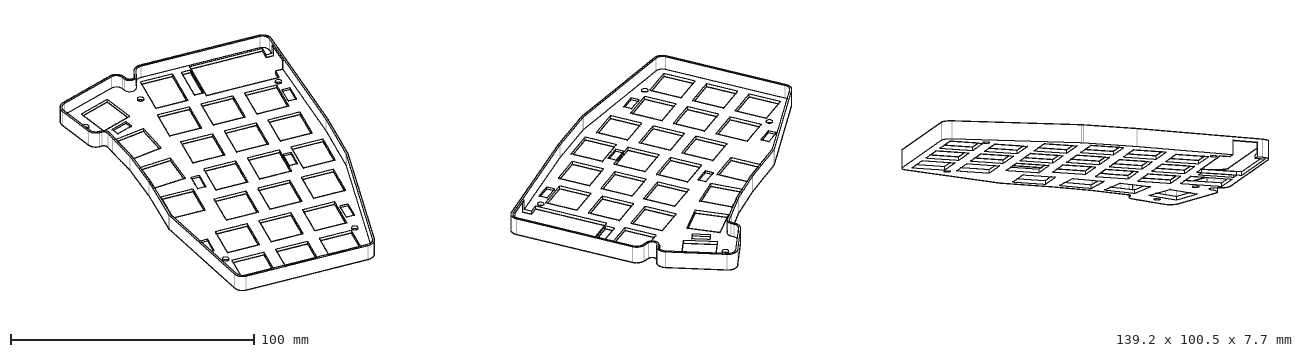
import cadquery as cq
import math

HEIGHT = 7.7
FLOOR = 1.5
WALL = 0.8
OUTER_RADIUS = 4.0
INNER_RADIUS = 2.0

CORNERS = [
    (0, 96.6, OUTER_RADIUS),
    (59.0, 100.5, 0),
    (82.4, 100.5, OUTER_RADIUS),
    (139.2, 91.0, OUTER_RADIUS),
    (139.2, 30.8, OUTER_RADIUS),
    (92.0, 18.0, OUTER_RADIUS),
    (69.6, 17.7, 0),
    (52.0, 16.1, INNER_RADIUS),
    (39, 13.5, 0),
    (33.7, 12.5, INNER_RADIUS),
    (33.7, 6.8, OUTER_RADIUS),
    (12.0, -1.1, OUTER_RADIUS),
    (0.5, 30.3, OUTER_RADIUS),
    (11.1, 34.1, INNER_RADIUS),
    (0, 37.6, OUTER_RADIUS),
]

KEY_SIZE = 14.0
KEY_PITCH = 19.2
ROWS = 3
FIRST_COLUMN_X = 32.2
BOTTOM_ROW_Y = 45.5
COLUMN_RISES = [0, 2.9, 5.7, 2.9, -3.9, -3.9]
THUMB_KEYS = [(17.7, 18.5, 20), (39.3, 24.4, 10), (59.9, 27.4, 5), (80.7, 28.5, 0)]

CONTROLLER_WINDOW = (1.7, 61.7, 21.0, 93.7)
CABLE_SLOT = (3.8, 57.2, 19.0, 61.2)
ENCODER_WINDOW = (3.3, 39.4, 21.0, 53.5)

PORT_LEFT = 6.0
PORT_RIGHT = 16.7
BRIDGE_HEIGHT = 1.5

POCKET_LENGTH = 7.5
POCKET_WIDTH = 3.6
POCKET_DEPTH = 1.0
POCKETS = [
    (32.5, 93.7, 0),
    (70.5, 79.6, 0),
    (109.0, 89.9, 0),
    (70.5, 39.3, 0),
    (109.0, 28.1, 0),
    (27.4, 22.0, 110),
]

SCREW_DIAMETER = 2.6
SCREWS = [(23.4, 92.4), (120.3, 89.0), (13.4, 35.6), (119.5, 32.5), (21.5, 8.4)]


def rounded_outline(corners):
    """Closed outline through the corners, each replaced by a tangent arc of its radius."""
    stops = []
    for i, (x, y, radius) in enumerate(corners):
        corner = cq.Vector(x, y)
        before = cq.Vector(*corners[i - 1][:2])
        after = cq.Vector(*corners[(i + 1) % len(corners)][:2])
        to_before = (before - corner).normalized()
        to_after = (after - corner).normalized()
        half_angle = to_before.getAngle(to_after) / 2
        setback = radius / math.tan(half_angle)
        arc_depth = radius / math.sin(half_angle) - radius
        middle = corner + (to_before + to_after).normalized() * arc_depth
        stops.append((corner + to_before * setback, middle, corner + to_after * setback, radius))

    outline = cq.Workplane("XY").moveTo(*stops[0][2].toTuple()[:2])
    for start, middle, end, radius in stops[1:] + stops[:1]:
        outline = outline.lineTo(start.x, start.y)
        if radius > 0:
            outline = outline.threePointArc((middle.x, middle.y), (end.x, end.y))
    return outline.close()


def block(x, y, length, width, bottom, top, tilt=0):
    """Upright block centred on (x, y), turned by tilt degrees."""
    upright = cq.Workplane("XY").box(length, width, top - bottom, centered=(True, True, False))
    return upright.rotate((0, 0, 0), (0, 0, 1), tilt).translate((x, y, bottom))


def block_between(left, bottom_side, right, top_side, top):
    """Upright block from the underside up to top, given by its four sides."""
    x = (left + right) / 2
    y = (bottom_side + top_side) / 2
    return block(x, y, right - left, top_side - bottom_side, 0, top)


body = rounded_outline(CORNERS).extrude(HEIGHT)
hollow = rounded_outline(CORNERS).offset2D(-WALL, "intersection").extrude(HEIGHT)
result = body.cut(hollow.translate((0, 0, FLOOR)))

keys = list(THUMB_KEYS)
for column, rise in enumerate(COLUMN_RISES):
    for row in range(ROWS):
        keys.append((FIRST_COLUMN_X + column * KEY_PITCH, BOTTOM_ROW_Y + rise + row * KEY_PITCH, 0))
for x, y, tilt in keys:
    result = result.cut(block(x, y, KEY_SIZE, KEY_SIZE, 0, FLOOR, tilt))

for window in (CONTROLLER_WINDOW, CABLE_SLOT, ENCODER_WINDOW):
    result = result.cut(block_between(*window, FLOOR))

window_top = CONTROLLER_WINDOW[3]
outline_top = max(y for x, y, radius in CORNERS)
result = result.cut(
    block_between(PORT_LEFT, window_top, PORT_RIGHT, outline_top, HEIGHT - BRIDGE_HEIGHT)
)

for x, y, tilt in POCKETS:
    result = result.cut(block(x, y, POCKET_LENGTH, POCKET_WIDTH, FLOOR - POCKET_DEPTH, FLOOR, tilt))

screws = cq.Workplane("XY").pushPoints(SCREWS).circle(SCREW_DIAMETER / 2).extrude(FLOOR)
result = result.cut(screws)